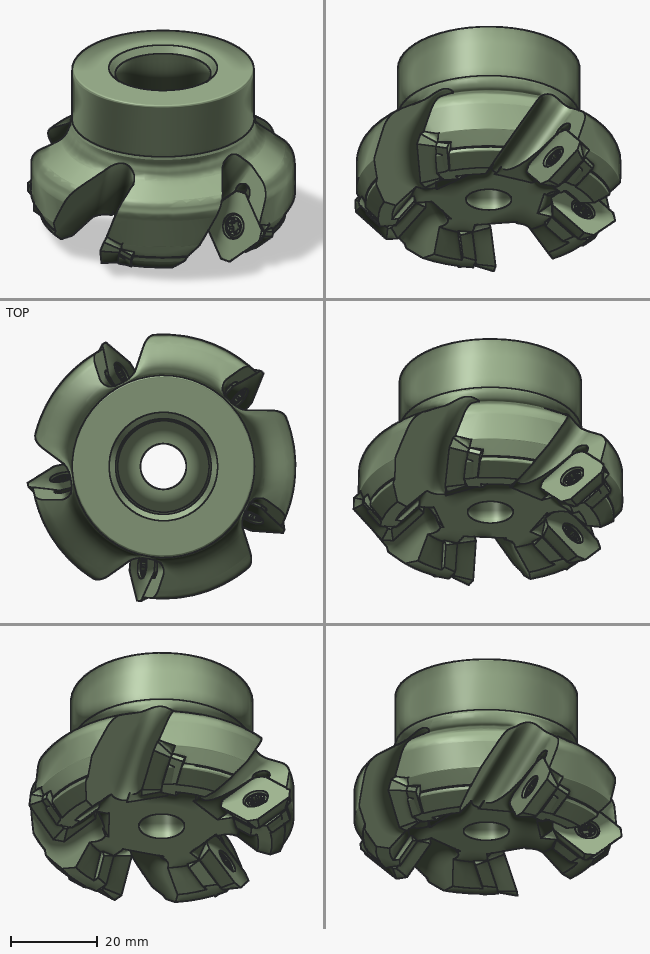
import cadquery as cq
import math


INSERT_COUNT = 5
FIRST_STATION_ANGLE = 187.7
RADIAL_RAKE = 5.0
AXIAL_RAKE = 20.5

TOTAL_HEIGHT = 40.0
HUB_RADIUS = 42 / 2
HUB_ROUND = 0.55
HUB_BOTTOM_Z = 27.1
NECK_RADIUS = 42.5 / 2
NECK_Z = 26.4
SHOULDER_BLEND = 5.0
SHOULDER_SLOPE = 32.3
RIM_RADIUS = 30.45
RIM_BOTTOM_Z = 8.5
BAND_RADIUS = 28.4
BAND_TOP_Z = 5.0
BAND_BOTTOM_Z = 3.95
FOOT_RADIUS = 25.45
FOOT_Z = 1.05
LOWER_ROUND = 0.5

BORE_DIAMETER = 22.05
BORE_MOUTH_DIAMETER = 25.0
BORE_MOUTH_DEPTH = 1.5
BORE_DEPTH = 21.0
BORE_FLOOR_BEVEL = 0.5
BOLT_HOLE_DIAMETER = 10.5
RECESS_FLOOR_Z = 5.75
RECESS_FLOOR_RADIUS = 17.9
RECESS_MOUTH_RADIUS = 22.3

CORNER_REACH = 8.15
CORNER_FACET = 2.6
INSERT_THICKNESS = 3.95
INSERT_CLEARANCE = 28.0
CUTTING_RADIUS = 31.5
SCREW_SEAT_DIAMETER = 5.9
SCREW_HEAD_DIAMETER = 5.25
SCREW_RIM_SINK = 0.55
SCREW_TOP_DIAMETER = 4.1
SCREW_TOP_SINK = 0.3
SOCKET_DIAMETER = 3.5
SOCKET_LOBES = 6
SOCKET_DEPTH = 1.55

PAD_LENGTH = 3.1
PAD_MARGIN = 0.4
POCKET_GAP = 0.05
POCKET_REACH = 24.7
POCKET_HEIGHT = 8.65
RELIEF_RADIUS = 2.1
RELIEF_OUTSET = 0.5
RELIEF_HEIGHT = 5.55
LAND_LIFT = 0.05
GULLET_RADIUS = 4.15
GULLET_LEAN = 28.0
GULLET_SPREAD = 29.0
GULLET_SHIFT = -5.2
GULLET_REACH = 37.05


def unit_vectors():
    """Insert face axes: outward, upward along the face, and out of the face."""
    radial = math.radians(RADIAL_RAKE)
    axial = math.radians(AXIAL_RAKE)
    outward = cq.Vector(math.cos(radial), math.sin(radial), 0)
    normal = cq.Vector(
        math.sin(radial) * math.cos(axial),
        -math.cos(radial) * math.cos(axial),
        math.sin(axial),
    )
    return outward, normal.cross(outward), normal


OUTWARD, UPWARD, NORMAL = unit_vectors()
INSERT_CENTRE = (
    cq.Vector(CUTTING_RADIUS, 0, CORNER_REACH * math.cos(math.radians(AXIAL_RAKE)))
    - OUTWARD * CORNER_REACH
)
SEAT_CENTRE = INSERT_CENTRE - NORMAL * INSERT_THICKNESS
FACE_PLANE_BACKWARD = cq.Plane(INSERT_CENTRE, OUTWARD, -NORMAL)
SEAT_PLANE = cq.Plane(SEAT_CENTRE, OUTWARD, NORMAL)
SEAT_PLANE_BACKWARD = cq.Plane(SEAT_CENTRE, OUTWARD, -NORMAL)


def at_stations(shape):
    """Copies of a station shape, turned to every insert position."""
    pitch = 360 / INSERT_COUNT
    return [
        shape.rotate((0, 0, 0), (0, 0, 1), FIRST_STATION_ANGLE + i * pitch)
        for i in range(INSERT_COUNT)
    ]


def square_outline(plane, inset=0.0):
    """Square standing on a corner, with its four corners cut off flat."""
    reach = CORNER_REACH - inset
    half_facet = CORNER_FACET / 2 - inset * (math.sqrt(2) - 1)
    points = [
        (reach, -half_facet), (reach, half_facet),
        (half_facet, reach), (-half_facet, reach),
        (-reach, half_facet), (-reach, -half_facet),
        (-half_facet, -reach), (half_facet, -reach),
    ]
    return cq.Workplane(plane).polyline(points).close()


def revolved_blank():
    """Hub, neck, sloping shoulder, rim, band and foot, with a recessed underside."""
    slope = math.radians(SHOULDER_SLOPE)
    blend_in = SHOULDER_BLEND * (1 - math.sin(slope))
    blend_drop = SHOULDER_BLEND * math.cos(slope)
    half_turn = (math.pi / 2 - slope) / 2
    mid_in = SHOULDER_BLEND * (1 - math.cos(half_turn))
    mid_drop = SHOULDER_BLEND * math.sin(half_turn)

    cone_top_radius = NECK_RADIUS + blend_in
    cone_top_z = NECK_Z - blend_drop
    cone_bottom_radius = RIM_RADIUS - blend_in
    cone_bottom_z = cone_top_z - (cone_bottom_radius - cone_top_radius) * math.tan(slope)
    rim_top_z = cone_bottom_z - blend_drop

    blank = (
        cq.Workplane("XZ")
        .moveTo(0, TOTAL_HEIGHT)
        .lineTo(HUB_RADIUS, TOTAL_HEIGHT)
        .lineTo(HUB_RADIUS, HUB_BOTTOM_Z)
        .lineTo(NECK_RADIUS, NECK_Z)
        .threePointArc((NECK_RADIUS + mid_in, NECK_Z - mid_drop), (cone_top_radius, cone_top_z))
        .lineTo(cone_bottom_radius, cone_bottom_z)
        .threePointArc((RIM_RADIUS - mid_in, rim_top_z + mid_drop), (RIM_RADIUS, rim_top_z))
        .lineTo(RIM_RADIUS, RIM_BOTTOM_Z)
        .lineTo(BAND_RADIUS, BAND_TOP_Z)
        .lineTo(BAND_RADIUS, BAND_BOTTOM_Z)
        .lineTo(FOOT_RADIUS, FOOT_Z)
        .lineTo(RECESS_MOUTH_RADIUS, FOOT_Z)
        .lineTo(RECESS_FLOOR_RADIUS, RECESS_FLOOR_Z)
        .lineTo(0, RECESS_FLOOR_Z)
        .close()
        .revolve(360, (0, 0, 0), (0, 1, 0))
    )
    blank = blank.edges(">Z").fillet(HUB_ROUND)
    for edge_z in (RIM_BOTTOM_Z, BAND_TOP_Z, BAND_BOTTOM_Z):
        blank = blank.edges(cq.NearestToPointSelector((0, 0, edge_z))).fillet(LOWER_ROUND)
    return blank


def arbor_bore():
    """Stepped bore: bevelled mouth, arbor bore and bolt hole."""
    bore_radius = BORE_DIAMETER / 2
    floor_z = TOTAL_HEIGHT - BORE_DEPTH
    return (
        cq.Workplane("XZ")
        .moveTo(0, TOTAL_HEIGHT)
        .lineTo(BORE_MOUTH_DIAMETER / 2, TOTAL_HEIGHT)
        .lineTo(bore_radius, TOTAL_HEIGHT - BORE_MOUTH_DEPTH)
        .lineTo(bore_radius, floor_z + BORE_FLOOR_BEVEL)
        .lineTo(bore_radius - BORE_FLOOR_BEVEL, floor_z)
        .lineTo(BOLT_HOLE_DIAMETER / 2, floor_z)
        .lineTo(BOLT_HOLE_DIAMETER / 2, 0)
        .lineTo(0, 0)
        .close()
        .revolve(360, (0, 0, 0), (0, 1, 0))
    )


def backing_pad():
    """Backing that carries the insert seat, cut level with the foot."""
    seat_inset = INSERT_THICKNESS * math.tan(math.radians(INSERT_CLEARANCE))
    pad = square_outline(SEAT_PLANE_BACKWARD, seat_inset - PAD_MARGIN).extrude(PAD_LENGTH)
    above_foot = (
        cq.Workplane("XY", origin=(0, 0, FOOT_Z)).circle(CUTTING_RADIUS).extrude(TOTAL_HEIGHT)
    )
    return pad.intersect(above_foot)


def chip_gullet():
    """Open slot with two flat walls and a round floor, swept along a leaning axis."""
    lean = math.radians(GULLET_LEAN)
    spread = math.radians(GULLET_SPREAD)
    axis = OUTWARD * math.sin(lean) + UPWARD * math.cos(lean)
    across = OUTWARD * math.cos(lean) - UPWARD * math.sin(lean)
    centre = INSERT_CENTRE + NORMAL * (LAND_LIFT + GULLET_RADIUS) + across * GULLET_SHIFT

    r = GULLET_RADIUS
    floor_angle = math.pi - spread / 2
    flank_foot = (-r * math.sin(spread), -r * math.cos(spread))
    flank_end = (
        flank_foot[0] + GULLET_REACH * math.cos(spread),
        flank_foot[1] - GULLET_REACH * math.sin(spread),
    )
    return (
        cq.Workplane(cq.Plane(centre, across, axis))
        .moveTo(GULLET_REACH, r)
        .lineTo(0, r)
        .threePointArc((r * math.cos(floor_angle), r * math.sin(floor_angle)), flank_foot)
        .lineTo(*flank_end)
        .close()
        .extrude(GULLET_REACH, both=True)
    )


def insert_pocket():
    """Pocket over the seat: two walls meet above the insert and it is open below."""
    half_top = CORNER_FACET / 2
    top = CORNER_REACH + POCKET_GAP * math.sqrt(2)
    wall_run = POCKET_REACH - half_top
    pocket = (
        cq.Workplane(SEAT_PLANE)
        .moveTo(-half_top, top)
        .lineTo(half_top, top)
        .lineTo(POCKET_REACH, top - wall_run)
        .lineTo(-POCKET_REACH, top - wall_run)
        .close()
        .extrude(POCKET_HEIGHT)
    )
    relief = (
        cq.Workplane(SEAT_PLANE)
        .center(RELIEF_OUTSET, CORNER_REACH)
        .circle(RELIEF_RADIUS)
        .extrude(RELIEF_HEIGHT)
    )
    return pocket.union(relief)


def make_cutter_body():
    """Blank with its bore, insert backings, chip gullets and insert pockets."""
    body = revolved_blank().cut(arbor_bore())
    for pad in at_stations(backing_pad()):
        body = body.union(pad, clean=False)
    for gullet in at_stations(chip_gullet()):
        body = body.cut(gullet)
    for pocket in at_stations(insert_pocket()):
        body = body.cut(pocket)
    return body


def screw_socket():
    """Sunk screw head with a lobed driving socket."""
    sink = (
        cq.Workplane(cq.Plane(INSERT_CENTRE, OUTWARD, UPWARD))
        .lineTo(SCREW_SEAT_DIAMETER / 2, 0)
        .lineTo(SCREW_HEAD_DIAMETER / 2, SCREW_RIM_SINK)
        .lineTo(SCREW_TOP_DIAMETER / 2, SCREW_TOP_SINK)
        .lineTo(0, SCREW_TOP_SINK)
        .close()
        .revolve(360, (0, 0, 0), (0, 1, 0))
    )
    lobe_radius = SOCKET_DIAMETER / 8
    lobe_circle = SOCKET_DIAMETER / 2 - lobe_radius
    socket_depth = SCREW_TOP_SINK + SOCKET_DEPTH
    core = cq.Workplane(FACE_PLANE_BACKWARD).circle(lobe_circle).extrude(socket_depth)
    lobes = (
        cq.Workplane(FACE_PLANE_BACKWARD)
        .polarArray(lobe_circle, 0, 360, SOCKET_LOBES)
        .circle(lobe_radius)
        .extrude(socket_depth)
    )
    return sink.union(core).union(lobes)


def make_insert():
    """Square insert with clearance on its sides, in one piece with its screw."""
    blank = square_outline(FACE_PLANE_BACKWARD).extrude(INSERT_THICKNESS, taper=INSERT_CLEARANCE)
    return blank.cut(screw_socket())


cutter_body = make_cutter_body()
inserts = at_stations(make_insert())

result = cq.Compound.makeCompound([cutter_body.val(), *[insert.val() for insert in inserts]])